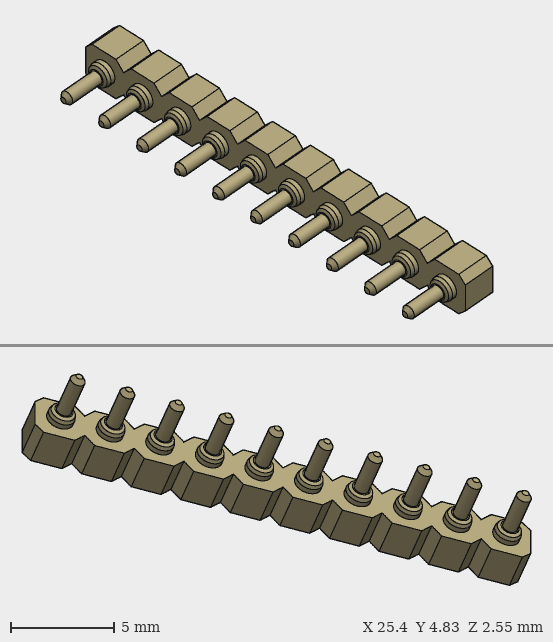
import cadquery as cq

pin_count = 10
strip_length = 25.4
pitch = strip_length / pin_count
strip_height = 2.55
total_depth = 4.83
strip_depth = 1.93
notch_half_width = 0.5
notch_depth = 0.55
end_chamfer = 0.43

collar_diameter = 1.37
collar_length = 0.28
shoulder_diameter = 1.25
shoulder_length = 0.2
bevel_diameter = 0.91
bevel_length = 0.1
shank_diameter = 0.75
tip_diameter = 0.35
tip_length = 0.25
root_length = 0.25

back_y = total_depth / 2
face_y = back_y - strip_depth
tip_y = -total_depth / 2


def make_strip():
    strip = (
        cq.Workplane("XY")
        .box(strip_length, strip_depth, strip_height)
        .translate((0, face_y + strip_depth / 2, 0))
        .edges("|Y")
        .chamfer(end_chamfer)
    )
    for gap in range(1, pin_count):
        x = gap * pitch - strip_length / 2
        for side in (1, -1):
            edge_z = side * strip_height / 2
            notch = (
                cq.Workplane("XZ", origin=(0, back_y, 0))
                .moveTo(x - notch_half_width, edge_z)
                .lineTo(x + notch_half_width, edge_z)
                .lineTo(x, edge_z - side * notch_depth)
                .close()
                .extrude(strip_depth)
            )
            strip = strip.cut(notch)
    return strip


def make_pin():
    """Turned pin on the Y axis: collar, tapered shoulder, bevel, shank and conical tip."""
    root_y = face_y + root_length
    collar_y = face_y - collar_length
    shoulder_y = collar_y - shoulder_length
    bevel_y = shoulder_y - bevel_length
    half_profile = [
        (0, root_y),
        (collar_diameter / 2, root_y),
        (collar_diameter / 2, collar_y),
        (shoulder_diameter / 2, shoulder_y),
        (bevel_diameter / 2, bevel_y),
        (shank_diameter / 2, bevel_y),
        (shank_diameter / 2, tip_y + tip_length),
        (tip_diameter / 2, tip_y),
        (0, tip_y),
    ]
    return cq.Workplane("XY").polyline(half_profile).close().revolve(360, (0, 0, 0), (0, 1, 0))


result = make_strip()
pin = make_pin()
for index in range(pin_count):
    pin_x = (index + 0.5) * pitch - strip_length / 2
    result = result.union(pin.translate((pin_x, 0, 0)))